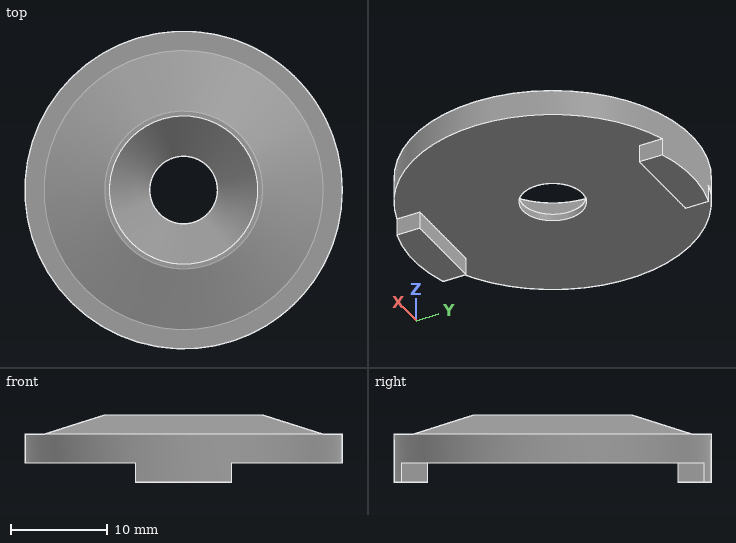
import cadquery as cq

disc_diameter = 33.0
disc_thickness = 3.0
rim_width = 2.0
crown_height = 2.0
crown_top_diameter = 16.4

hole_diameter = 7.0
countersink_diameter = 15.4
countersink_depth = 4.2

tab_height = 2.0
tab_width = 10.0
tab_inner_distance = 13.0

disc_bottom = tab_height
disc_top = disc_bottom + disc_thickness
crown_top = disc_top + crown_height

disc_radius = disc_diameter / 2
hole_radius = hole_diameter / 2


def make_body():
    """Revolve the half section of the disc, crown and countersunk hole about Z."""
    section = [
        (hole_radius, disc_bottom),
        (disc_radius, disc_bottom),
        (disc_radius, disc_top),
        (disc_radius - rim_width, disc_top),
        (crown_top_diameter / 2, crown_top),
        (countersink_diameter / 2, crown_top),
        (hole_radius, crown_top - countersink_depth),
    ]
    return cq.Workplane("XZ").polyline(section).close().revolve(360, (0, 0, 0), (0, 1, 0))


def make_tabs():
    """Cut both tabs from a cylinder so their outer faces follow the disc edge."""
    strip = cq.Workplane("XY").rect(tab_width, disc_diameter).extrude(disc_bottom)
    gap = cq.Workplane("XY").rect(tab_width, 2 * tab_inner_distance).extrude(disc_bottom)
    cylinder = cq.Workplane("XY").circle(disc_radius).extrude(disc_bottom)
    return cylinder.intersect(strip).cut(gap)


result = make_body().union(make_tabs())